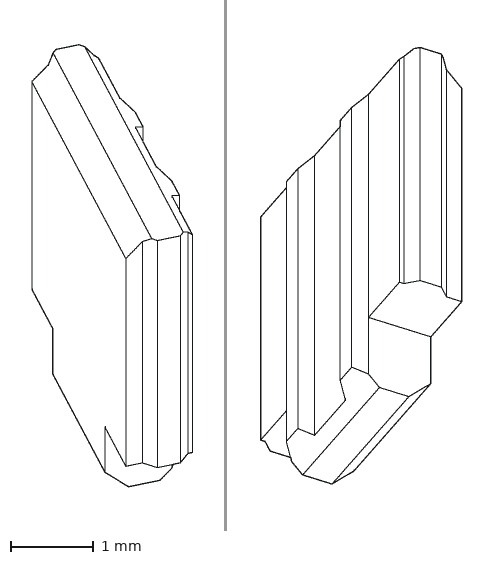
import cadquery as cq

width = 3.9
thickness = 1.0
height = 4.5

tongue_width = 2.0
tongue_height = 1.0

ridge_height = 0.145
ridge_tip = 0.29

rib_height = 0.15
rib_base = 0.6
rib_spacing = 1.4

end_chamfer = 0.3

plate_width = width - 2 * ridge_height
plate_thickness = thickness - rib_height


def upright_block(block_width, bottom):
    """Plain block of plate thickness from the given level to the top end."""
    return (
        cq.Workplane("XY", origin=(0, plate_thickness / 2, bottom))
        .rect(block_width, plate_thickness)
        .extrude(height - bottom)
    )


def side_ridge(side):
    """Guide ridge on one side edge; side is -1 for -X and +1 for +X."""
    root_x = side * plate_width / 2
    tip_x = side * width / 2
    middle_y = thickness / 2
    half_tip = ridge_tip / 2
    half_root = half_tip + ridge_height
    outline = [
        (root_x, middle_y - half_root),
        (tip_x, middle_y - half_tip),
        (tip_x, middle_y + half_tip),
        (root_x, middle_y + half_root),
    ]
    return (
        cq.Workplane("XY", origin=(0, 0, tongue_height))
        .polyline(outline)
        .close()
        .extrude(height - tongue_height)
    )


def back_rib(center_x):
    """Full-height rib standing on the back face."""
    half_base = rib_base / 2
    half_tip = half_base - rib_height
    outline = [
        (center_x - half_base, plate_thickness),
        (center_x - half_tip, thickness),
        (center_x + half_tip, thickness),
        (center_x + half_base, plate_thickness),
    ]
    return cq.Workplane("XY").polyline(outline).close().extrude(height)


def chamfered_envelope():
    """Block of the outer size with both ends chamfered front and back."""
    return (
        cq.Workplane("XY")
        .box(width, thickness, height)
        .edges("|X")
        .chamfer(end_chamfer)
        .translate((0, thickness / 2, height / 2))
    )


plate = upright_block(plate_width, tongue_height)
tongue = upright_block(tongue_width, 0)
part = plate.union(tongue)

for side in (-1, 1):
    part = part.union(side_ridge(side))
    part = part.union(back_rib(side * rib_spacing / 2))

result = part.intersect(chamfered_envelope())